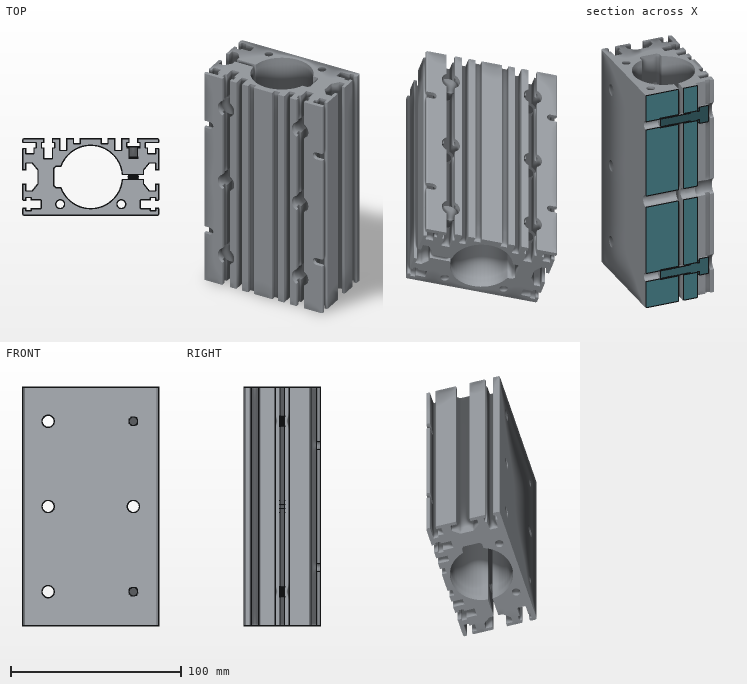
import cadquery as cq
import math

HOLE_PITCH = 50.0

WIDTH = 80.0
DEPTH = 45.0
LENGTH = 140.0
HALF_WIDTH = WIDTH / 2
BACK = DEPTH / 2
FRONT = -DEPTH / 2
CORNER_RADIUS = 1.0

BORE_DIAMETER = 37.1
RELIEF_REACH = 21.7
RELIEF_WIDTH = 12.5
RELIEF_CHAMFER = 1.3
SLIT_WIDTH = 2.8

LIP = 2.0
LIP_RADIUS = 0.7

TOLERANCE = 0.001

SIDE_MOUTH_WIDTH = 8.3
SIDE_SLOT_WIDTH = 16.4
SIDE_FLOOR_WIDTH = 8.1
SIDE_STRAIGHT_DEPTH = 5.6
SIDE_SLOT_DEPTH = 9.0

FLANGE = 2.4
FLANGE_GAP = 3.4
FLANGE_STEP_DEPTH = 8.0
FLANGE_STEP_WIDTH = 3.1
FLANGE_POCKET_DEPTH = 6.6
FLANGE_POCKET_FLOOR = 8.8

NARROW_SLOT_WIDTH = 5.0
NARROW_GROOVE_WIDTH = 7.5
FRONT_SLOT_Y = -16.0
FRONT_SLOT_WIDTH = 5.2
FRONT_MOUTH_WIDTH = 4.5
FRONT_GROOVE_DEPTH = 5.0
FRONT_SLOT_DEPTH = 10.9
FRONT_SLOT_CHAMFER = 0.4
BACK_SLOT_X = HOLE_PITCH / 2
BACK_GROOVE_TOP = 2.4
BACK_GROOVE_BOTTOM = 5.5
BACK_SLOT_DEPTH = 11.8

BACK_GROOVES = [(16.1, 3.9, 6.9), (8.1, 3.9, 3.0)]

LONG_HOLE_DIAMETER = 5.0
LONG_HOLE_X = 17.9
LONG_HOLE_Y = -16.0

BOLT_HOLE_DIAMETER = 7.0
COUNTERBORE_DIAMETER = 11.0

NOTCH_WIDTH = 4.6
NOTCH_INSET = 4.0
NOTCH_Z = 35.8

SCREW_DIAMETER = 6.0
SCREW_CORE_DIAMETER = 5.0
SCREW_HEAD_DIAMETER = 11.0
SCREW_HEAD_HEIGHT = 6.0
SCREW_LENGTH = 25.0
WASHER_DIAMETER = 10.0
WASHER_THICKNESS = 0.5
WASHERS_PER_SCREW = 2
SEAT_Y = BACK - BACK_SLOT_DEPTH
HEAD_Y = SEAT_Y + WASHERS_PER_SCREW * WASHER_THICKNESS
SCREW_TIP_Y = HEAD_Y - SCREW_LENGTH
THREAD_PITCH = 1.0
THREAD_TURNS = 20
SCREW_HEIGHTS = (-HOLE_PITCH, HOLE_PITCH)


def prism(points):
    """Closed XY outline extruded over the full length."""
    return cq.Workplane("XY").polyline(points).close().extrude(LENGTH / 2, both=True)


def bar(x0, x1, y0, y1):
    """Full-length rectangular bar between the given limits."""
    return prism([(x0, y0), (x1, y0), (x1, y1), (x0, y1)])


def rod(diameter, x, z, y0, y1):
    """Cylinder along Y between y0 and y1."""
    return cq.Workplane("XZ", origin=(x, y0, z)).circle(diameter / 2).extrude(y0 - y1)


def side_slot():
    """T-slot in the middle of the +X side, with a tapered floor."""
    x_lip = HALF_WIDTH - LIP
    x_straight = HALF_WIDTH - SIDE_STRAIGHT_DEPTH
    x_floor = HALF_WIDTH - SIDE_SLOT_DEPTH
    mouth = SIDE_MOUTH_WIDTH / 2
    wide = SIDE_SLOT_WIDTH / 2
    floor = SIDE_FLOOR_WIDTH / 2
    cavity = prism([
        (x_lip, -wide), (x_lip, wide), (x_straight, wide),
        (x_floor, floor), (x_floor, -floor), (x_straight, -wide),
    ])
    return cavity.union(bar(x_straight, HALF_WIDTH, -mouth, mouth))


def flange_pocket():
    """Stepped pocket under the +X back flange."""
    x_lip = HALF_WIDTH - LIP
    x_step = HALF_WIDTH - FLANGE_STEP_DEPTH
    x_wall = HALF_WIDTH - FLANGE_POCKET_DEPTH
    y_top = BACK - FLANGE
    y_step = y_top - FLANGE_STEP_WIDTH
    y_floor = BACK - FLANGE_POCKET_FLOOR
    cavity = prism([
        (x_lip, y_top), (x_step, y_top), (x_step, y_step),
        (x_wall, y_step), (x_wall, y_floor), (x_lip, y_floor),
    ])
    return cavity.union(bar(x_lip, HALF_WIDTH, y_top - FLANGE_GAP, y_top))


def flange_notch(z):
    """Notch through the +X back flange, open to the side, with a half-round inner end."""
    x_end = HALF_WIDTH - NOTCH_INSET
    y_middle = BACK - FLANGE / 2
    straight = cq.Workplane("XY").box(NOTCH_INSET, FLANGE, NOTCH_WIDTH)
    straight = straight.translate((x_end + NOTCH_INSET / 2, y_middle, z))
    return straight.union(rod(NOTCH_WIDTH, x_end, z, BACK - FLANGE, BACK))


def front_slot():
    """Narrow T-slot near the front of the +X side."""
    x_floor = HALF_WIDTH - FRONT_SLOT_DEPTH
    x_lip = HALF_WIDTH - LIP
    y_mouth = FRONT_MOUTH_WIDTH / 2
    y_groove = NARROW_GROOVE_WIDTH / 2
    y_slot = FRONT_SLOT_WIDTH / 2
    slot = bar(x_floor, x_lip, FRONT_SLOT_Y - y_slot, FRONT_SLOT_Y + y_slot)
    slot = slot.edges("|Z and <X").chamfer(FRONT_SLOT_CHAMFER)
    mouth = bar(x_lip, HALF_WIDTH, FRONT_SLOT_Y - y_mouth, FRONT_SLOT_Y + y_mouth)
    groove = bar(HALF_WIDTH - FRONT_GROOVE_DEPTH, x_lip, FRONT_SLOT_Y - y_groove, FRONT_SLOT_Y + y_groove)
    return slot.union(mouth).union(groove)


def back_slot():
    """Narrow T-slot in the back, on the +X side."""
    half_slot = NARROW_SLOT_WIDTH / 2
    half_groove = NARROW_GROOVE_WIDTH / 2
    slot = bar(BACK_SLOT_X - half_slot, BACK_SLOT_X + half_slot, BACK - BACK_SLOT_DEPTH, BACK)
    groove = bar(
        BACK_SLOT_X - half_groove, BACK_SLOT_X + half_groove,
        BACK - BACK_GROOVE_BOTTOM, BACK - BACK_GROOVE_TOP,
    )
    return slot.union(groove)


def clamp_bore():
    """Round bore joined with its relief and its clamping slit."""
    bore = cq.Workplane("XY").circle(BORE_DIAMETER / 2).extrude(LENGTH / 2, both=True)
    relief = bar(-RELIEF_REACH, 0, -RELIEF_WIDTH / 2, RELIEF_WIDTH / 2)
    relief = relief.edges("|Z and <X").chamfer(RELIEF_CHAMFER)
    slit = bar(0, HALF_WIDTH - LIP, -SLIT_WIDTH / 2, SLIT_WIDTH / 2)
    return bore.union(relief).union(slit)


def is_rounded_lip_edge(edge):
    """True for the outer edges of the flange pockets and of the front slots."""
    rounded_heights = (
        BACK - FLANGE,
        BACK - FLANGE - FLANGE_GAP,
        FRONT_SLOT_Y + FRONT_MOUTH_WIDTH / 2,
        FRONT_SLOT_Y - FRONT_MOUTH_WIDTH / 2,
    )
    middle = edge.Center()
    on_side = math.isclose(abs(middle.x), HALF_WIDTH, abs_tol=TOLERANCE)
    return on_side and any(math.isclose(middle.y, y, abs_tol=TOLERANCE) for y in rounded_heights)


def make_housing():
    """Extruded clamp housing with its slots, holes and screw seats."""
    body = cq.Workplane("XY").box(WIDTH, DEPTH, LENGTH)
    body = body.edges("|Z").fillet(CORNER_RADIUS)

    mirrored_cuts = [side_slot(), flange_pocket(), front_slot(), back_slot()]
    for middle, width, depth in BACK_GROOVES:
        mirrored_cuts.append(bar(middle - width / 2, middle + width / 2, BACK - depth, BACK))
    for cut in mirrored_cuts:
        body = body.cut(cut).cut(cut.mirror("YZ"))
    body = body.edges("|Z").filter(is_rounded_lip_edge).fillet(LIP_RADIUS)

    for z in (-NOTCH_Z, NOTCH_Z):
        notch = flange_notch(z)
        body = body.cut(notch).cut(notch.mirror("YZ"))

    body = body.cut(clamp_bore())
    long_holes = (
        cq.Workplane("XY")
        .pushPoints([(-LONG_HOLE_X, LONG_HOLE_Y), (LONG_HOLE_X, LONG_HOLE_Y)])
        .circle(LONG_HOLE_DIAMETER / 2)
        .extrude(LENGTH / 2, both=True)
    )
    body = body.cut(long_holes)

    bolt_places = [(-BACK_SLOT_X, z) for z in (-HOLE_PITCH, 0, HOLE_PITCH)]
    bolt_places.append((BACK_SLOT_X, 0))
    for x, z in bolt_places:
        body = body.cut(rod(BOLT_HOLE_DIAMETER, x, z, FRONT, BACK))
        body = body.cut(rod(COUNTERBORE_DIAMETER, x, z, SEAT_Y, BACK))

    for z in SCREW_HEIGHTS:
        body = body.cut(rod(COUNTERBORE_DIAMETER, BACK_SLOT_X, z, SEAT_Y, BACK))
        body = body.cut(rod(SCREW_DIAMETER, BACK_SLOT_X, z, SCREW_TIP_Y, SEAT_Y))
        body = body.cut(rod(SCREW_CORE_DIAMETER, BACK_SLOT_X, z, FRONT, SCREW_TIP_Y))
    return body


def make_screw(z):
    """Cap screw along Y whose thread is a stack of V-shaped rings."""
    crest = SCREW_DIAMETER / 2
    root = SCREW_CORE_DIAMETER / 2
    outline = [(0, SCREW_TIP_Y), (crest, SCREW_TIP_Y)]
    for turn in range(THREAD_TURNS):
        y = SCREW_TIP_Y + turn * THREAD_PITCH
        outline += [(root, y + THREAD_PITCH / 2), (crest, y + THREAD_PITCH)]
    outline += [
        (crest, HEAD_Y),
        (SCREW_HEAD_DIAMETER / 2, HEAD_Y),
        (SCREW_HEAD_DIAMETER / 2, HEAD_Y + SCREW_HEAD_HEIGHT),
        (0, HEAD_Y + SCREW_HEAD_HEIGHT),
    ]
    screw = cq.Workplane("XY").polyline(outline).close().revolve(360, (0, 0, 0), (0, 1, 0))
    return screw.translate((BACK_SLOT_X, 0, z))


def make_washer(z, y):
    """Flat ring around the screw at height z, with its front face at y."""
    ring = rod(WASHER_DIAMETER, BACK_SLOT_X, z, y, y + WASHER_THICKNESS)
    return ring.cut(rod(SCREW_DIAMETER, BACK_SLOT_X, z, y, y + WASHER_THICKNESS))


housing = make_housing()
screws = [make_screw(z) for z in SCREW_HEIGHTS]
washers = [
    make_washer(z, SEAT_Y + layer * WASHER_THICKNESS)
    for z in SCREW_HEIGHTS
    for layer in range(WASHERS_PER_SCREW)
]

result = cq.Compound.makeCompound(
    [housing.val()] + [screw.val() for screw in screws] + [washer.val() for washer in washers]
)